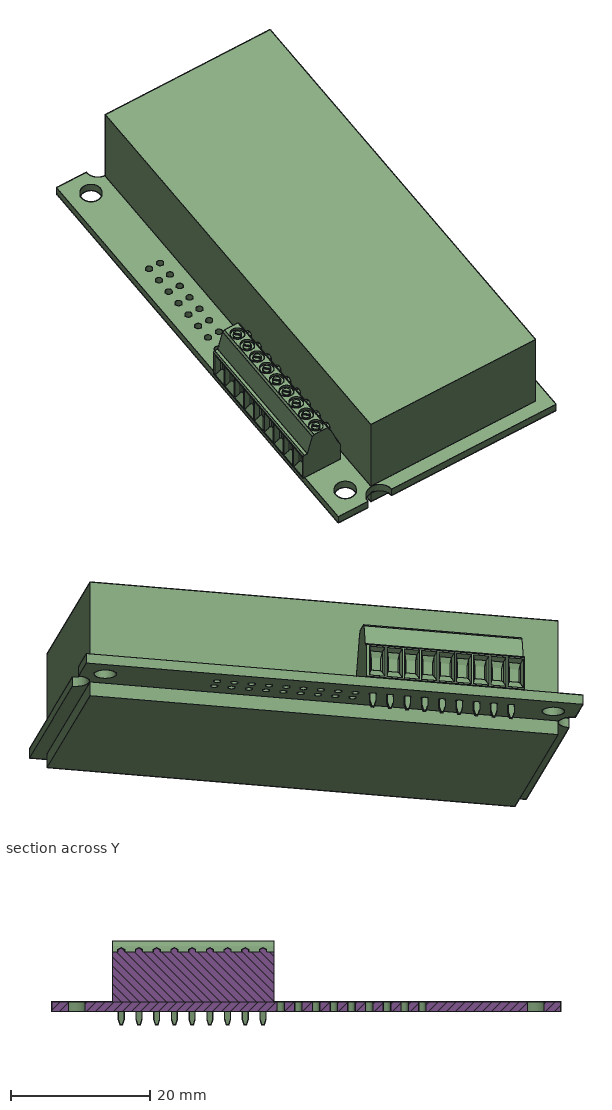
import cadquery as cq


BOARD_LENGTH = 73.0
BOARD_WIDTH = 37.5
BOARD_THICKNESS = 1.45
MOUNT_DIAMETER = 3.2
MOUNT_INSET = 3.6
NOTCH_DIAMETER = 4.0
NOTCH_Y = 7.15

PITCH = 2.54
CONTACT_DIAMETER = 1.0
OPEN_COLUMNS = 9
POLES = 9
FIRST_POLE_X = 6.2
FRONT_ROW_Y = 2.8
BACK_ROW_Y = 4.7

HOUSING_LENGTH = 68.8
HOUSING_WIDTH = 28.4
HOUSING_MARGIN = (BOARD_LENGTH - HOUSING_LENGTH) / 2
HOUSING_CENTRE_Y = BOARD_WIDTH - HOUSING_MARGIN - HOUSING_WIDTH / 2
UPPER_HEIGHT = 14.0
LOWER_HEIGHT = 2.1

STRIP_LENGTH = 23.2
STRIP_LEFT_X = 4.6
STRIP_FRONT_Y = -0.3
STRIP_BACK_Y = 6.1
STRIP_HEIGHT = 8.7
LEDGE_HEIGHT = 5.1
LEDGE_BACK_Y = 0.45
LEDGE_CHAMFER = 0.2
CREST_FRONT_Y = 1.6
CREST_BACK_Y = 3.95
CREST_CHAMFER = 0.3
BACK_WALL_HEIGHT = 3.35
SHOULDER_Y = 4.4
SHOULDER_HEIGHT = 7.95

FUNNEL_DEPTH = 0.95
FUNNEL_MOUTH_WIDTH = 2.25
FUNNEL_BEND_WIDTH = 1.75
FUNNEL_THROAT_WIDTH = 1.4
FUNNEL_MOUTH_BOTTOM = 0.2
FUNNEL_MOUTH_TOP = 4.7
FUNNEL_THROAT_BOTTOM = 1.4
FUNNEL_THROAT_TOP = 3.3
FUNNEL_BEND_DEPTH = 0.7
FUNNEL_BEND_HEIGHT = 4.2

WELL_DIAMETER = 2.1
WELL_DEPTH = 0.45
SCREW_DIAMETER = 1.25
SCREW_HEIGHT = 0.3
SLOT_WIDTH = 0.3
SLOT_DEPTH = 0.2
SLOT_ANGLE = 45

TAB_WIDTH = 1.0
TAB_BOTTOM = 6.3
TAB_EAVES = 7.45
TAB_RIDGE = 7.75
TAB_BACK_Y = 4.9
TAB_FRONT_Y = 3.65

PIN_WIDTH = 0.9
PIN_THICKNESS = 0.5
PIN_TIP_WIDTH = 0.4
PIN_TIP_LENGTH = 0.8
PIN_PROTRUSION = 1.9

pole_xs = [FIRST_POLE_X + PITCH * i for i in range(POLES)]
open_xs = [FIRST_POLE_X - PITCH * (i + 1) for i in range(OPEN_COLUMNS)]


def block(length, width, height, centre_y, bottom_z):
    """Box centred on X, standing on bottom_z."""
    return (
        cq.Workplane("XY", origin=(0, centre_y, bottom_z))
        .box(length, width, height, centered=(True, True, False))
    )


def drill(plate, points, diameter):
    """Plate with round holes through its whole thickness."""
    holes = cq.Workplane("XY").pushPoints(points).circle(diameter / 2).extrude(BOARD_THICKNESS)
    return plate.cut(holes)


def make_board():
    board = block(BOARD_LENGTH, BOARD_WIDTH, BOARD_THICKNESS, BOARD_WIDTH / 2, 0)
    edge_x = BOARD_LENGTH / 2
    board = drill(board, [(side * edge_x, NOTCH_Y) for side in (-1, 1)], NOTCH_DIAMETER)
    mount_x = edge_x - MOUNT_INSET
    board = drill(board, [(side * mount_x, MOUNT_INSET) for side in (-1, 1)], MOUNT_DIAMETER)
    contacts = [(x, y) for x in open_xs for y in (FRONT_ROW_Y, BACK_ROW_Y)]
    contacts += [(x, FRONT_ROW_Y) for x in pole_xs]
    return drill(board, contacts, CONTACT_DIAMETER)


def make_strip_body():
    """Strip cross-section drawn from the back foot, over the bevelled shoulder, to the front foot."""
    return (
        cq.Workplane("YZ", origin=(STRIP_LEFT_X, 0, BOARD_THICKNESS))
        .moveTo(STRIP_BACK_Y, 0)
        .lineTo(STRIP_BACK_Y, BACK_WALL_HEIGHT)
        .lineTo(SHOULDER_Y, SHOULDER_HEIGHT)
        .lineTo(CREST_BACK_Y, STRIP_HEIGHT)
        .lineTo(CREST_FRONT_Y, STRIP_HEIGHT)
        .lineTo(CREST_FRONT_Y - CREST_CHAMFER, STRIP_HEIGHT - CREST_CHAMFER)
        .lineTo(LEDGE_BACK_Y, LEDGE_HEIGHT)
        .lineTo(STRIP_FRONT_Y + LEDGE_CHAMFER, LEDGE_HEIGHT)
        .lineTo(STRIP_FRONT_Y, LEDGE_HEIGHT - LEDGE_CHAMFER)
        .lineTo(STRIP_FRONT_Y, 0)
        .close()
        .extrude(STRIP_LENGTH)
    )


def make_funnel(x):
    """Wire entry that narrows inwards both in height and in width."""
    throat_y = STRIP_FRONT_Y + FUNNEL_DEPTH
    bend_y = STRIP_FRONT_Y + FUNNEL_BEND_DEPTH
    heights = [
        (STRIP_FRONT_Y, FUNNEL_MOUTH_BOTTOM),
        (throat_y, FUNNEL_THROAT_BOTTOM),
        (throat_y, FUNNEL_THROAT_TOP),
        (bend_y, FUNNEL_BEND_HEIGHT),
        (STRIP_FRONT_Y, FUNNEL_MOUTH_TOP),
    ]
    widths = [
        (x - FUNNEL_MOUTH_WIDTH / 2, STRIP_FRONT_Y),
        (x + FUNNEL_MOUTH_WIDTH / 2, STRIP_FRONT_Y),
        (x + FUNNEL_BEND_WIDTH / 2, bend_y),
        (x + FUNNEL_THROAT_WIDTH / 2, throat_y),
        (x - FUNNEL_THROAT_WIDTH / 2, throat_y),
        (x - FUNNEL_BEND_WIDTH / 2, bend_y),
    ]
    taper = (
        cq.Workplane("XY", origin=(0, 0, BOARD_THICKNESS))
        .polyline(widths)
        .close()
        .extrude(STRIP_HEIGHT)
    )
    side_profile = (
        cq.Workplane("YZ", origin=(x, 0, BOARD_THICKNESS))
        .polyline(heights)
        .close()
        .extrude(FUNNEL_MOUTH_WIDTH / 2, both=True)
    )
    return side_profile.intersect(taper)


def make_screw_recess(x):
    """Well around a slotted screw head, as the volume to remove from the crest."""
    floor_z = BOARD_THICKNESS + STRIP_HEIGHT - WELL_DEPTH
    floor = cq.Workplane("XY", origin=(x, FRONT_ROW_Y, floor_z))
    head = floor.circle(SCREW_DIAMETER / 2).extrude(SCREW_HEIGHT)
    slot = (
        floor.workplane(offset=SCREW_HEIGHT - SLOT_DEPTH)
        .transformed(rotate=(0, 0, SLOT_ANGLE))
        .rect(SCREW_DIAMETER, SLOT_WIDTH)
        .extrude(SLOT_DEPTH)
    )
    return floor.circle(WELL_DIAMETER / 2).extrude(WELL_DEPTH).cut(head.cut(slot))


def make_tab(x):
    """Gabled tab with its ridge along Y, running from inside the strip to a flat back face."""
    return (
        cq.Workplane("XZ", origin=(x, TAB_BACK_Y, BOARD_THICKNESS))
        .polyline([
            (-TAB_WIDTH / 2, TAB_BOTTOM),
            (-TAB_WIDTH / 2, TAB_EAVES),
            (0, TAB_RIDGE),
            (TAB_WIDTH / 2, TAB_EAVES),
            (TAB_WIDTH / 2, TAB_BOTTOM),
        ])
        .close()
        .extrude(TAB_BACK_Y - TAB_FRONT_Y)
    )


def make_pin(x):
    """Flat solder pin with a tapered tip, down from the strip's underside."""
    shoulder_z = PIN_TIP_LENGTH - PIN_PROTRUSION
    return (
        cq.Workplane("XZ", origin=(x, FRONT_ROW_Y, 0))
        .polyline([
            (-PIN_WIDTH / 2, BOARD_THICKNESS),
            (-PIN_WIDTH / 2, shoulder_z),
            (-PIN_TIP_WIDTH / 2, -PIN_PROTRUSION),
            (PIN_TIP_WIDTH / 2, -PIN_PROTRUSION),
            (PIN_WIDTH / 2, shoulder_z),
            (PIN_WIDTH / 2, BOARD_THICKNESS),
        ])
        .close()
        .extrude(PIN_THICKNESS / 2, both=True)
    )


def make_terminal_strip():
    strip = make_strip_body()
    for x in pole_xs:
        strip = strip.cut(make_funnel(x)).cut(make_screw_recess(x))
        strip = strip.union(make_tab(x)).union(make_pin(x))
    return strip


board = make_board()
upper_housing = block(HOUSING_LENGTH, HOUSING_WIDTH, UPPER_HEIGHT, HOUSING_CENTRE_Y, BOARD_THICKNESS)
lower_housing = block(HOUSING_LENGTH, HOUSING_WIDTH, LOWER_HEIGHT, HOUSING_CENTRE_Y, -LOWER_HEIGHT)
terminal_strip = make_terminal_strip()

result = cq.Compound.makeCompound([
    board.val(),
    upper_housing.val(),
    lower_housing.val(),
    terminal_strip.val(),
])